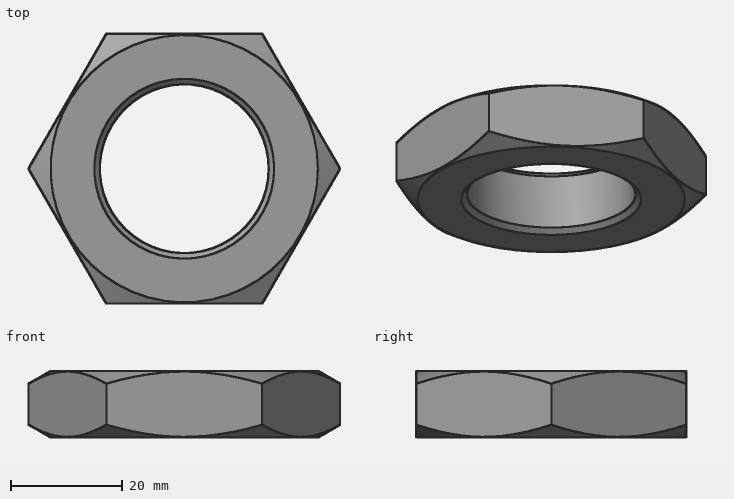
import cadquery as cq
import math

across_flats = 48.5
thickness = 12.0
bore_diameter = 30.29
bore_chamfer_width = 1.0
face_diameter = 48.0
corner_chamfer_angle = 30.0
bore_chamfer_angle = 45.0
rim_overrun = 1.0

across_corners = across_flats / math.cos(math.radians(30))
corner_radius = across_corners / 2
face_radius = face_diameter / 2
bore_radius = bore_diameter / 2
bore_mouth_radius = bore_radius + bore_chamfer_width
half_thickness = thickness / 2


def drop_along_slope(radial_width, angle):
    """Axial height of a cone that spans radial_width at the given angle."""
    return radial_width * math.tan(math.radians(angle))


def hexagonal_blank():
    """Hexagonal prism centred on the origin, with two corners on the X axis."""
    return (
        cq.Workplane("XY")
        .polygon(6, across_corners)
        .extrude(half_thickness, both=True)
    )


def turned_envelope():
    """Ring revolved about Z: conical outer chamfers and a bore chamfered at both ends."""
    rim_radius = corner_radius + rim_overrun
    rim_z = half_thickness - drop_along_slope(rim_radius - face_radius, corner_chamfer_angle)
    bore_z = half_thickness - drop_along_slope(bore_chamfer_width, bore_chamfer_angle)
    upper_profile = [
        (bore_radius, bore_z),
        (bore_mouth_radius, half_thickness),
        (face_radius, half_thickness),
        (rim_radius, rim_z),
    ]
    lower_profile = [(r, -z) for r, z in reversed(upper_profile)]
    return (
        cq.Workplane("XZ")
        .polyline(upper_profile + lower_profile)
        .close()
        .revolve(360, (0, 0), (0, 1))
    )


result = hexagonal_blank().intersect(turned_envelope())